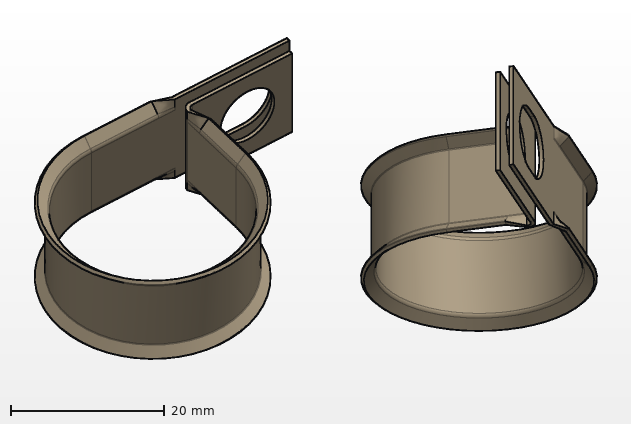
import cadquery as cq
import math

thickness = 0.6
width = 14.27
half_width = width / 2

inner_radius = 13.5
loop_angle = 270
transition_length = 2.6
left_run_length = inner_radius - transition_length
back_run_length = 8.05

flare_angle = math.radians(45)
flare_tip_radius = 15.41
flare_bend_radius = 0.2
tip_round_radius = 0.1

left_tab_end = 32.15
right_tab_end = 31.0
tab_bend_radius = 0.7
hole_diameter = 8.7
slot_length = 11.1
hole_center_y = 23.75

outer_bend_radius = flare_bend_radius + thickness
bend_height = flare_bend_radius * math.sin(flare_angle)
bend_center_offset = outer_bend_radius
bend_end_offset = bend_center_offset - flare_bend_radius * math.cos(flare_angle)

tip_center_offset = flare_tip_radius - inner_radius - tip_round_radius
sharp_tip_offset = tip_center_offset + tip_round_radius / math.sin(flare_angle)
tip_center_height = half_width - thickness * math.sin(flare_angle)
tip_round_rise = tip_round_radius * math.sin(flare_angle)
tip_round_reach = tip_round_radius * math.cos(flare_angle)
bend_end_height = tip_center_height - (sharp_tip_offset - bend_end_offset) / math.tan(flare_angle)
bend_start_height = bend_end_height - bend_height

tab_bend_start_x = -back_run_length - transition_length
tab_bend_outer_radius = tab_bend_radius + thickness
right_tab_x = tab_bend_start_x - tab_bend_outer_radius


def left_plane(y):
    """Section plane across the left run; local x points outward, local y is Z."""
    return cq.Plane(origin=(-inner_radius, y, 0), xDir=(-1, 0, 0), normal=(0, 1, 0))


def back_plane(x):
    """Section plane across the back run; local x points outward, local y is Z."""
    return cq.Plane(origin=(x, inner_radius, 0), xDir=(0, 1, 0), normal=(1, 0, 0))


def bend_point(radius, angle):
    """Point on a flare bend, as offset and height; angle 0 is where the bend starts."""
    offset = bend_center_offset - radius * math.cos(angle)
    return offset, bend_start_height + radius * math.sin(angle)


def mirrored(point):
    offset, height = point
    return offset, -height


def flared_section(plane):
    """Closed strip section with both edges bent outward."""
    inner_start, inner_mid, inner_end = (
        bend_point(outer_bend_radius, flare_angle * part) for part in (0, 0.5, 1)
    )
    outer_start, outer_mid, outer_end = (
        bend_point(flare_bend_radius, flare_angle * part) for part in (0, 0.5, 1)
    )
    inner_tip = (sharp_tip_offset - thickness * math.cos(flare_angle), half_width)
    tip_upper = (tip_center_offset + tip_round_reach, tip_center_height + tip_round_rise)
    tip_mid = (tip_center_offset + tip_round_radius, tip_center_height)
    tip_lower = (tip_center_offset + tip_round_reach, tip_center_height - tip_round_rise)
    return (
        cq.Workplane(plane)
        .moveTo(*mirrored(inner_start))
        .lineTo(*inner_start)
        .threePointArc(inner_mid, inner_end)
        .lineTo(*inner_tip)
        .lineTo(*tip_upper)
        .threePointArc(tip_mid, tip_lower)
        .lineTo(*outer_end)
        .threePointArc(outer_mid, outer_start)
        .lineTo(*mirrored(outer_start))
        .threePointArc(mirrored(outer_mid), mirrored(outer_end))
        .lineTo(*mirrored(tip_lower))
        .threePointArc(mirrored(tip_mid), mirrored(tip_upper))
        .lineTo(*mirrored(inner_tip))
        .lineTo(*mirrored(inner_end))
        .threePointArc(mirrored(inner_mid), mirrored(inner_start))
        .close()
    )


def flat_section(plane):
    """Flat strip section split at the same corners as the flared section."""
    inner_bend_end_height = bend_start_height + outer_bend_radius * math.sin(flare_angle)
    upper = [
        (0, bend_start_height),
        (0, inner_bend_end_height),
        (0, half_width),
        (thickness, half_width),
        (thickness, half_width - 2 * tip_round_rise),
        (thickness, bend_end_height),
        (thickness, bend_start_height),
    ]
    lower = [mirrored(point) for point in reversed(upper)]
    return cq.Workplane(plane).polyline(lower[-1:] + upper + lower[:-1]).close()


def make_transition(flared_plane, flat_plane):
    """Stretch where the flares flatten out into the plain strip."""
    wires = [
        flared_section(flared_plane).wires().val(),
        flat_section(flat_plane).wires().val(),
    ]
    return cq.Workplane(cq.Solid.makeLoft(wires, True))


def make_loop():
    """Flared three-quarter turn plus the two flared straight runs."""
    axis_start = (-inner_radius, 0)
    axis_end = (-inner_radius, 1)
    turn = flared_section(left_plane(0)).revolve(loop_angle, axis_start, axis_end)
    left_run = flared_section(left_plane(0)).extrude(left_run_length)
    back_run = flared_section(back_plane(0)).extrude(-back_run_length)
    return turn.union(left_run).union(back_run)


def make_left_tab():
    """Straight tab with a slot along Y."""
    length = left_tab_end - inner_radius
    tab = (
        cq.Workplane("XY", origin=(-inner_radius - thickness, inner_radius, -half_width))
        .box(thickness, length, width, centered=False)
    )
    slot = (
        cq.Workplane("YZ", origin=(-inner_radius, hole_center_y, 0))
        .slot2D(slot_length, hole_diameter)
        .extrude(-thickness)
    )
    return tab.cut(slot)


def make_right_tab():
    """Tab turned up from the back run by a quarter bend, with a round hole."""
    bend_center_y = inner_radius + tab_bend_outer_radius
    diagonal = math.sin(math.radians(45))
    outer_mid = (
        tab_bend_start_x - tab_bend_outer_radius * diagonal,
        bend_center_y - tab_bend_outer_radius * diagonal,
    )
    inner_mid = (
        tab_bend_start_x - tab_bend_radius * diagonal,
        bend_center_y - tab_bend_radius * diagonal,
    )
    tab = (
        cq.Workplane("XY", origin=(0, 0, -half_width))
        .moveTo(tab_bend_start_x, inner_radius)
        .threePointArc(outer_mid, (right_tab_x, bend_center_y))
        .lineTo(right_tab_x, right_tab_end)
        .lineTo(right_tab_x + thickness, right_tab_end)
        .lineTo(right_tab_x + thickness, bend_center_y)
        .threePointArc(inner_mid, (tab_bend_start_x, inner_radius + thickness))
        .close()
        .extrude(width)
    )
    hole = (
        cq.Workplane("YZ", origin=(right_tab_x, hole_center_y, 0))
        .circle(hole_diameter / 2)
        .extrude(thickness)
    )
    return tab.cut(hole)


left_transition = make_transition(left_plane(left_run_length), left_plane(inner_radius))
back_transition = make_transition(back_plane(-back_run_length), back_plane(tab_bend_start_x))

result = (
    make_loop()
    .union(left_transition)
    .union(back_transition)
    .union(make_left_tab())
    .union(make_right_tab())
)